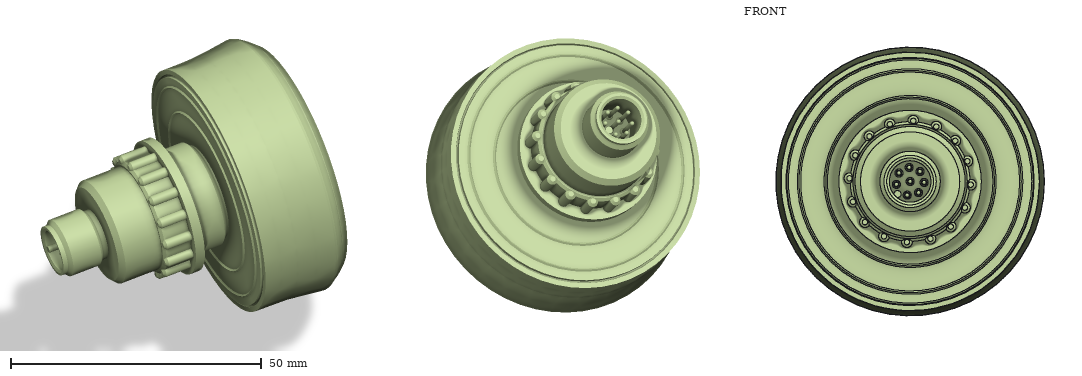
import cadquery as cq
import math

TOTAL_LENGTH = 53.85

HEAD_REAR_RADIUS = 24.0
HEAD_BEVEL_RADIUS = 25.4
HEAD_SHOULDER_RADIUS = 25.7
HEAD_CROWN_RADIUS = 26.6
HEAD_MAX_RADIUS = 26.8
HEAD_WAIST_RADIUS = 25.9
HEAD_FRONT_RADIUS = 25.8
BEVEL_DEPTH = 1.6
SHOULDER_DEPTH = 2.0
CROWN_DEPTH = 3.4
MAX_RADIUS_DEPTH = 3.95
TAPER_END_DEPTH = 12.0
HEAD_FRONT_DEPTH = 19.05

GROOVE_MOUTH_RADIUS = 24.75
GROOVE_FLOOR_RADIUS = 24.6
GROOVE_DEPTH = 0.55
DISC_RADIUS = 24.3
DISC_FACE_DEPTH = 19.45
RIDGE_RADII = (22.2, 16.85)
RIDGE_HALF_WIDTH = 0.3
RIDGE_HEIGHT = 0.3

BARREL_RADIUS = 11.0
BARREL_CHAMFER = 1.1
BARREL_REAR_DEPTH = 19.75
BARREL_FRONT_DEPTH = 43.95

PLUG_NECK_RADIUS = 5.2
PLUG_RADIUS = 6.05
PLUG_CHAMFER = PLUG_RADIUS - PLUG_NECK_RADIUS
NECK_END_DEPTH = 45.0
PLUG_TIP_LENGTH = 0.95
PLUG_TIP_DEPTH = TOTAL_LENGTH - PLUG_TIP_LENGTH

SOCKET_RADIUS = 4.15
SOCKET_MOUTH_RADIUS = 4.7
SOCKET_MOUTH_DEPTH = 0.3
SOCKET_FLOOR_DEPTH = NECK_END_DEPTH
KEY_RADIUS = 0.7
KEY_CENTRE_RADIUS = 3.55
KEY_ANGLE = 225.0

PIN_RADIUS = 0.45
PIN_END_ROUNDING = 0.4
PIN_RECESS = 2.0
PIN_CIRCLE_RADIUS = 2.8
OUTER_PIN_COUNT = 7
PIN_SPACING_ANGLE = 49.0
COLLAR_BASE_RADIUS = 0.8
COLLAR_TOP_RADIUS = 0.55
COLLAR_HEIGHT = COLLAR_BASE_RADIUS - COLLAR_TOP_RADIUS

FLANGE_RADIUS = 14.2
FLANGE_REAR_DEPTH = 26.85
FLANGE_FRONT_DEPTH = 28.85
SLEEVE_RADIUS = 11.95
NUT_FRONT_DEPTH = 34.85
NUT_CHAMFER = 0.55
RIB_COUNT = 16
RIB_RADIUS = 1.1
RIB_CENTRE_RADIUS = 12.1
FIRST_RIB_ANGLE = -3.0


def turned(profile):
    """Revolve (radius, depth) points about the Y axis."""
    points = [(radius, -depth) for radius, depth in profile]
    return cq.Workplane("XY").polyline(points).close().revolve(360, (0, 0, 0), (0, 1, 0))


def on_circle(radius, angle):
    """Point (x, z) at an angle in degrees, counted from +X toward +Z."""
    return (radius * math.cos(math.radians(angle)), radius * math.sin(math.radians(angle)))


def rod(centre, radius, start_depth, end_depth):
    """Cylinder parallel to Y between two depths."""
    plane = cq.Workplane("XZ").workplane(offset=start_depth)
    return plane.center(*centre).circle(radius).extrude(end_depth - start_depth)


def make_housing_blank():
    """Solid outer shape of the head, disc, barrel and plug."""
    groove_floor_depth = HEAD_FRONT_DEPTH - GROOVE_DEPTH
    barrel_end_radius = BARREL_RADIUS - BARREL_CHAMFER
    return turned([
        (0, 0),
        (HEAD_REAR_RADIUS, 0),
        (HEAD_BEVEL_RADIUS, BEVEL_DEPTH),
        (HEAD_BEVEL_RADIUS, SHOULDER_DEPTH),
        (HEAD_SHOULDER_RADIUS, SHOULDER_DEPTH),
        (HEAD_CROWN_RADIUS, CROWN_DEPTH),
        (HEAD_MAX_RADIUS, MAX_RADIUS_DEPTH),
        (HEAD_WAIST_RADIUS, TAPER_END_DEPTH),
        (HEAD_FRONT_RADIUS, HEAD_FRONT_DEPTH),
        (GROOVE_MOUTH_RADIUS, HEAD_FRONT_DEPTH),
        (GROOVE_FLOOR_RADIUS, groove_floor_depth),
        (DISC_RADIUS, groove_floor_depth),
        (DISC_RADIUS, DISC_FACE_DEPTH),
        (barrel_end_radius, DISC_FACE_DEPTH),
        (barrel_end_radius, BARREL_REAR_DEPTH),
        (BARREL_RADIUS, BARREL_REAR_DEPTH + BARREL_CHAMFER),
        (BARREL_RADIUS, BARREL_FRONT_DEPTH - BARREL_CHAMFER),
        (barrel_end_radius, BARREL_FRONT_DEPTH),
        (PLUG_NECK_RADIUS, BARREL_FRONT_DEPTH),
        (PLUG_NECK_RADIUS, NECK_END_DEPTH),
        (PLUG_RADIUS, NECK_END_DEPTH + PLUG_CHAMFER),
        (PLUG_RADIUS, PLUG_TIP_DEPTH - PLUG_CHAMFER),
        (PLUG_NECK_RADIUS, PLUG_TIP_DEPTH),
        (PLUG_NECK_RADIUS, TOTAL_LENGTH),
        (0, TOTAL_LENGTH),
    ])


def make_ridge(crest_radius):
    """Circular ridge on the disc face; its root is sunk as deep as its crest is high."""
    root_depth = DISC_FACE_DEPTH - RIDGE_HEIGHT
    return turned([
        (crest_radius - RIDGE_HALF_WIDTH, root_depth),
        (crest_radius - RIDGE_HALF_WIDTH, DISC_FACE_DEPTH),
        (crest_radius, DISC_FACE_DEPTH + RIDGE_HEIGHT),
        (crest_radius + RIDGE_HALF_WIDTH, DISC_FACE_DEPTH),
        (crest_radius + RIDGE_HALF_WIDTH, root_depth),
    ])


def make_socket():
    """Round cavity with a bevelled mouth."""
    return turned([
        (0, SOCKET_FLOOR_DEPTH),
        (SOCKET_RADIUS, SOCKET_FLOOR_DEPTH),
        (SOCKET_RADIUS, TOTAL_LENGTH - SOCKET_MOUTH_DEPTH),
        (SOCKET_MOUTH_RADIUS, TOTAL_LENGTH),
        (0, TOTAL_LENGTH),
    ])


def make_key():
    """Round rib along the socket wall, ending at the bevelled mouth."""
    centre = on_circle(KEY_CENTRE_RADIUS, KEY_ANGLE)
    return rod(centre, KEY_RADIUS, SOCKET_FLOOR_DEPTH, TOTAL_LENGTH - SOCKET_MOUTH_DEPTH)


def make_pin(centre):
    """Contact pin with a rounded end and a conical collar at the socket floor."""
    collar_top_depth = SOCKET_FLOOR_DEPTH + COLLAR_HEIGHT
    collar = turned([
        (0, SOCKET_FLOOR_DEPTH),
        (COLLAR_BASE_RADIUS, SOCKET_FLOOR_DEPTH),
        (COLLAR_TOP_RADIUS, collar_top_depth),
        (0, collar_top_depth),
    ])
    x, z = centre
    pin = rod(centre, PIN_RADIUS, SOCKET_FLOOR_DEPTH, TOTAL_LENGTH - PIN_RECESS)
    pin = pin.faces("<Y").edges().fillet(PIN_END_ROUNDING)
    return pin.union(collar.translate((x, 0, z)))


def pin_centres():
    """Middle pin, then the outer pins, symmetric about the side opposite the key."""
    first_angle = KEY_ANGLE - 180 - PIN_SPACING_ANGLE * (OUTER_PIN_COUNT - 1) / 2
    angles = [first_angle + i * PIN_SPACING_ANGLE for i in range(OUTER_PIN_COUNT)]
    return [(0, 0)] + [on_circle(PIN_CIRCLE_RADIUS, angle) for angle in angles]


def make_housing():
    """Head, barrel and plug with its contacts, as one solid."""
    housing = make_housing_blank()
    for crest_radius in RIDGE_RADII:
        housing = housing.union(make_ridge(crest_radius))
    housing = housing.cut(make_socket()).union(make_key())
    for centre in pin_centres():
        housing = housing.union(make_pin(centre))
    return housing


def make_nut():
    """Flanged sleeve that fits around the barrel, with round grip ribs."""
    nut = turned([
        (BARREL_RADIUS, FLANGE_REAR_DEPTH),
        (FLANGE_RADIUS, FLANGE_REAR_DEPTH),
        (FLANGE_RADIUS, FLANGE_FRONT_DEPTH),
        (SLEEVE_RADIUS, FLANGE_FRONT_DEPTH),
        (SLEEVE_RADIUS, NUT_FRONT_DEPTH - NUT_CHAMFER),
        (SLEEVE_RADIUS - NUT_CHAMFER, NUT_FRONT_DEPTH),
        (BARREL_RADIUS, NUT_FRONT_DEPTH),
    ])
    for i in range(RIB_COUNT):
        centre = on_circle(RIB_CENTRE_RADIUS, FIRST_RIB_ANGLE + i * 360 / RIB_COUNT)
        rib = rod(centre, RIB_RADIUS, FLANGE_FRONT_DEPTH, NUT_FRONT_DEPTH)
        nut = nut.union(rib.faces("<Y").chamfer(NUT_CHAMFER))
    return nut


housing = make_housing()
nut = make_nut()

result = cq.Compound.makeCompound([housing.val(), nut.val()])